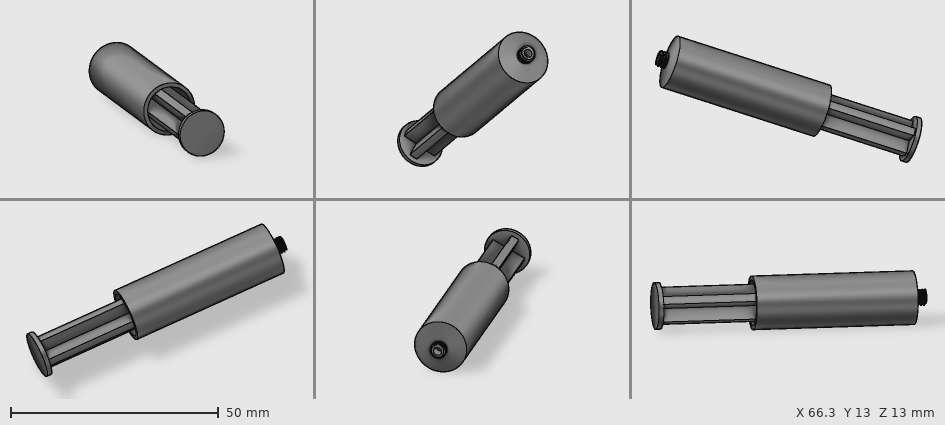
import cadquery as cq

total_length = 66.3
barrel_end = 42.45
shoulder_start = 2.05
shoulder_end = 3.0

barrel_radius = 13.0 / 2
wall = 1.0
bore_radius = barrel_radius - wall
shoulder_radius = 4.1 / 2

nozzle_bore_radius = 2.0 / 2
thread_root_radius = 3.1 / 2
thread_crest_radius = 3.9 / 2
thread_pitch = 0.7
thread_crest_width = 0.1
thread_base_width = 0.565
thread_embed = 0.05
thread_crest_at_top = 0.05

flange_radius = 11.3 / 2
flange_thickness = 1.2
rod_radius = 9.0 / 2
rib_thickness = 2.0
rib_angle = 27.0
piston_length = 3.0

flange_start = total_length - flange_thickness
stroke = flange_start - barrel_end
cone_slope = (shoulder_end - shoulder_start) / (barrel_radius - shoulder_radius)
nose_height = cone_slope * bore_radius
cavity_apex = shoulder_end + wall - cone_slope * barrel_radius


def cylinder(radius, start, end):
    """Cylinder on the X axis from start to end."""
    return cq.Workplane("YZ", origin=(start, 0, 0)).circle(radius).extrude(end - start)


def revolve_on_axis(points):
    """Solid of revolution about X from an (x, radius) outline."""
    return cq.Workplane("XY").polyline(points).close().revolve(360, (0, 0, 0), (1, 0, 0))


def pointed_cylinder(apex, end):
    """Bore-sized cylinder whose conical point faces -X, parallel to the shoulder."""
    return revolve_on_axis([(apex, 0), (apex + nose_height, bore_radius), (end, bore_radius), (end, 0)])


def make_thread():
    """Right-handed helical ridge, trimmed flush with the nozzle mouth."""
    inner_radius = thread_root_radius - thread_embed
    start = thread_crest_at_top - thread_pitch
    helix_length = shoulder_end - start
    helix = cq.Wire.makeHelix(thread_pitch, helix_length, inner_radius)
    ridge = (
        cq.Workplane("XZ")
        .polyline([
            (inner_radius, -thread_base_width / 2),
            (thread_crest_radius, -thread_crest_width / 2),
            (thread_crest_radius, thread_crest_width / 2),
            (inner_radius, thread_base_width / 2),
        ])
        .close()
        .sweep(cq.Workplane(obj=helix), isFrenet=True)
        .rotate((0, 0, 0), (0, 1, 0), 90)
        .rotate((0, 0, 0), (1, 0, 0), 180)
        .translate((start, 0, 0))
    )
    return ridge.intersect(cylinder(barrel_radius, 0, shoulder_start))


def make_barrel():
    """Hollow barrel with a conical shoulder and a threaded nozzle."""
    shell = revolve_on_axis([
        (0, 0),
        (0, thread_root_radius),
        (shoulder_start, thread_root_radius),
        (shoulder_start, shoulder_radius),
        (shoulder_end, barrel_radius),
        (barrel_end, barrel_radius),
        (barrel_end, 0),
    ])
    cavity = pointed_cylinder(cavity_apex, barrel_end)
    nozzle_bore = cylinder(nozzle_bore_radius, 0, cavity_apex + nose_height)
    return shell.union(make_thread()).cut(cavity).cut(nozzle_bore)


def make_plunger():
    """Conical piston, cross-ribbed rod and thumb flange in one piece."""
    apex = cavity_apex + stroke
    piston_end = apex + nose_height + piston_length
    rod_length = flange_start - piston_end
    rod_centre = (piston_end + flange_start) / 2
    rib = cq.Workplane("XY").box(rod_length, 2 * rod_radius, rib_thickness)
    cross = rib.union(rib.rotate((0, 0, 0), (1, 0, 0), 90))
    cross = cross.rotate((0, 0, 0), (1, 0, 0), rib_angle).translate((rod_centre, 0, 0))
    rod = cross.intersect(cylinder(rod_radius, piston_end, flange_start))
    flange = cylinder(flange_radius, flange_start, total_length)
    return pointed_cylinder(apex, piston_end).union(rod).union(flange)


barrel = make_barrel()
plunger = make_plunger()
result = cq.Compound.makeCompound([barrel.solids().val(), plunger.solids().val()])